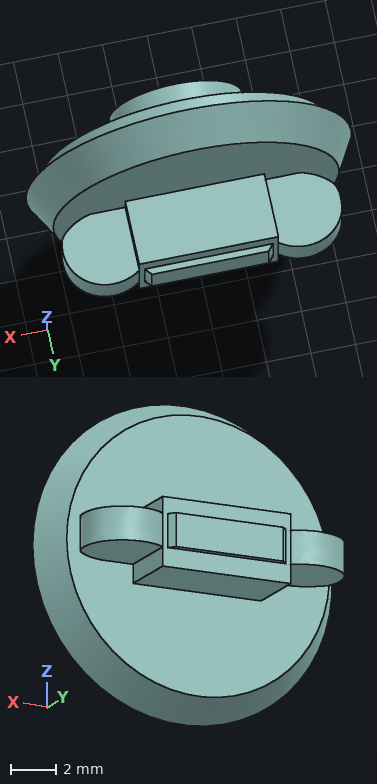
import cadquery as cq

overall_depth = 7.8
flange_diameter = 14.64
step_diameter = 12.84
boss_diameter = 6.0
boss_length = 2.0
step_thickness = 0.8
flange_thickness = 1.6
step_front = boss_length
flange_front = step_front + step_thickness
flange_back = flange_front + flange_thickness

block_width = 6.25
block_depth = 3.0
block_height = 3.19
block_center_x = 0.06
block_center_z = -0.06
wing_thickness = 1.55
wing_peak = overall_depth - flange_back
wing_peak_reach = 1.29
wing_reach = 3.12
wing_widest_depth = 1.5
wing_foot_reach = 1.6
ridge_width = 5.77
ridge_top_width = 5.24
ridge_depth = 3.31

upper_shoulder = [(1.9, 3.28), (2.72, 2.7), (3.05, 2.06)]
lower_shoulder = [(3.05, 0.98), (2.62, 0.48), (2.11, 0.18)]


def disc(diameter, front, thickness):
    """Cylinder along Y starting at the given front face."""
    plane = cq.Workplane("XZ", origin=(0, front, 0))
    return plane.circle(diameter / 2).extrude(-thickness)


def tapered_flange():
    """Conical flange, widest at the front."""
    profile = [
        (0, flange_front),
        (flange_diameter / 2, flange_front),
        (step_diameter / 2, flange_back),
        (0, flange_back),
    ]
    return cq.Workplane("XY").polyline(profile).close().revolve(360, (0, 0), (0, 1))


def wing_plane():
    """Plane at the underside of the wings, with its origin on the back of the flange."""
    return cq.Workplane("XY", origin=(block_center_x, flange_back, -wing_thickness / 2))


def wing(side):
    """Rounded wing beside the block; side is -1 for -X and +1 for +X."""
    curve = [
        (wing_peak_reach, wing_peak),
        *upper_shoulder,
        (wing_reach, wing_widest_depth),
        *lower_shoulder,
        (wing_foot_reach, 0),
    ]
    block_edge = block_width / 2
    points = [(side * (block_edge + reach), depth) for reach, depth in curve]
    return (
        wing_plane()
        .moveTo(0, 0)
        .lineTo(0, block_depth)
        .lineTo(side * block_edge, block_depth)
        .spline(points, includeCurrent=True)
        .close()
        .extrude(wing_thickness)
    )


def ridge():
    """Bevelled ridge between the wings, rising behind the block."""
    profile = [
        (-ridge_width / 2, 0),
        (-ridge_width / 2, block_depth),
        (-ridge_top_width / 2, ridge_depth),
        (ridge_top_width / 2, ridge_depth),
        (ridge_width / 2, block_depth),
        (ridge_width / 2, 0),
    ]
    return wing_plane().polyline(profile).close().extrude(wing_thickness)


block = cq.Workplane("XY").box(block_width, block_depth, block_height).translate(
    (block_center_x, flange_back + block_depth / 2, block_center_z)
)

result = (
    tapered_flange()
    .union(disc(step_diameter, step_front, step_thickness))
    .union(disc(boss_diameter, 0, boss_length))
    .union(block)
    .union(ridge())
)
for side in (-1, 1):
    result = result.union(wing(side))